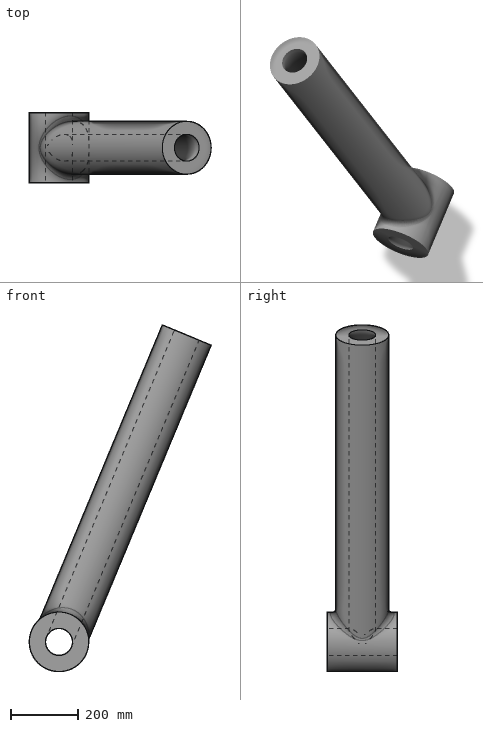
import cadquery as cq

hub_diameter = 178.0
hub_length = 210.0

arm_diameter = 158.0
arm_length = 990.0
arm_tilt = 22.6

bore_diameter = 80.0
weld_radius = 15.0


def hub_cylinder(diameter):
    """Cylinder along the hub axis, as long as the hub."""
    return cq.Workplane("XZ").circle(diameter / 2).extrude(hub_length / 2, both=True)


def arm_cylinder(diameter):
    """Cylinder from the hub axis to the free end of the arm."""
    upright = cq.Workplane("XY").circle(diameter / 2).extrude(arm_length)
    return upright.rotate((0, 0, 0), (0, 1, 0), arm_tilt)


def is_junction(edge):
    """True for the curved seam, the only edges that are neither straight nor circular."""
    return edge.geomType() not in ("LINE", "CIRCLE")


body = hub_cylinder(hub_diameter).union(arm_cylinder(arm_diameter))
junction_edges = [edge for edge in body.edges().vals() if is_junction(edge)]
body = body.newObject(junction_edges).fillet(weld_radius)

result = body.cut(hub_cylinder(bore_diameter)).cut(arm_cylinder(bore_diameter))